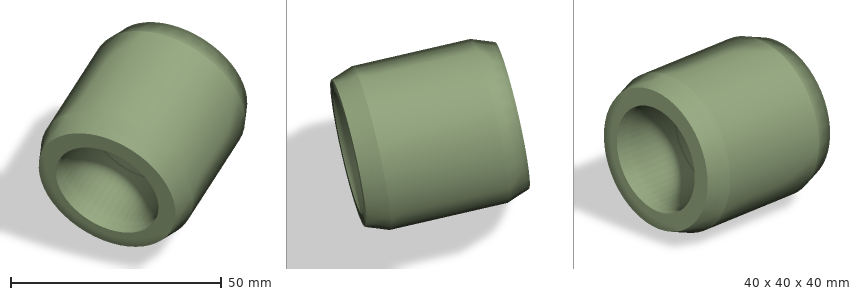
import cadquery as cq
import math

length = 40.0
outer_diameter = 40.0
bore_diameter = 27.0
end_diameter = 36.0
taper_angle = 20.0
lip_radius = 1.5
step_position = 0.0

outer_radius = outer_diameter / 2
bore_radius = bore_diameter / 2
end_radius = end_diameter / 2
half_length = length / 2
taper_length = (outer_radius - end_radius) / math.tan(math.radians(taper_angle))
shoulder = half_length - taper_length

counterbore_radius = bore_radius + lip_radius
lip_start = step_position - lip_radius
lip_mid_offset = lip_radius * math.sqrt(0.5)
lip_middle = (lip_start + lip_mid_offset, counterbore_radius - lip_mid_offset)

wall_section = (
    cq.Workplane("YZ")
    .moveTo(-half_length, bore_radius)
    .lineTo(lip_start, bore_radius)
    .threePointArc(lip_middle, (step_position, counterbore_radius))
    .lineTo(half_length, counterbore_radius)
    .lineTo(half_length, end_radius)
    .lineTo(shoulder, outer_radius)
    .lineTo(-shoulder, outer_radius)
    .lineTo(-half_length, end_radius)
    .close()
)

result = wall_section.revolve(360, (0, 0, 0), (1, 0, 0))